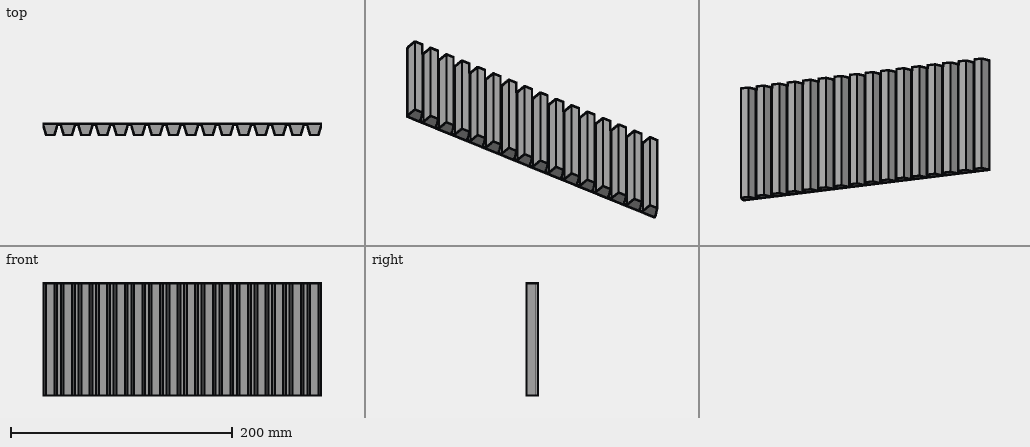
import cadquery as cq

length = 250.8
depth = 10.5
height = 101.5

rib_count = 16
web_thickness = 1.3
shoulder_depth = 2.3
rib_base_width = 12.5
rib_tip_width = 7.5
pitch = (length - rib_base_width) / (rib_count - 1)

back_y = depth / 2
web_y = back_y - web_thickness
shoulder_y = back_y - shoulder_depth
tip_y = -depth / 2


def make_web():
    """Thin flat plate that joins the ribs along the back."""
    web_center_y = (back_y + web_y) / 2
    return cq.Workplane("XY").center(0, web_center_y).rect(length, web_thickness).extrude(height)


def make_rib(center_x):
    """Full-height rib with short square shoulders and flanks that taper to a flat tip."""
    half_base = rib_base_width / 2
    half_tip = rib_tip_width / 2
    outline = [
        (center_x - half_base, back_y),
        (center_x - half_base, shoulder_y),
        (center_x - half_tip, tip_y),
        (center_x + half_tip, tip_y),
        (center_x + half_base, shoulder_y),
        (center_x + half_base, back_y),
    ]
    return cq.Workplane("XY").polyline(outline).close().extrude(height)


result = make_web()
for index in range(rib_count):
    rib_x = (index - (rib_count - 1) / 2) * pitch
    result = result.union(make_rib(rib_x))